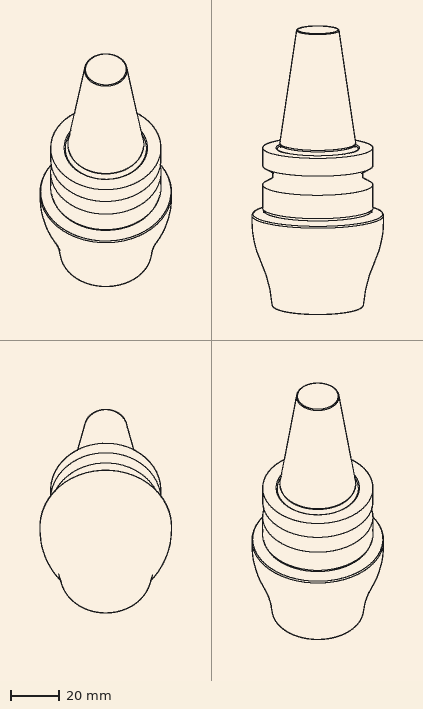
import cadquery as cq
import math

total_height = 117.4
flange_top_z = 67.3

taper_base_z = 69.3
taper_base_radius = 15.8
taper_slope = 7 / 48
taper_top_radius = taper_base_radius - taper_slope * (total_height - taper_base_z)
taper_tip_chamfer = 0.4
neck_radius = 15.5
neck_top_z = 68.6
neck_bottom_z = 67.6
recess_radius = 17.4
recess_depth = 0.5

flange_radius = 23.0
groove_radius = 18.8
groove_mid_z = 55.6
groove_width = 8.1
groove_flank_angle = 30.0
groove_fillet = 0.9
flange_bottom_z = 41.7

relief_radius = 22.5
relief_chamfer_height = 1.0
relief_fillet = 0.8

body_radius = 27.5
body_top_z = 39.2
rim_chamfer_width = 0.4
rim_chamfer_height = 0.7
rim_bottom_z = 36.0
inflection_radius = 24.0
inflection_z = 19.6
nose_radius = 19.1
nose_rounding = 0.9

groove_flank_height = (flange_radius - groove_radius) * math.tan(math.radians(groove_flank_angle))
groove_top_z = groove_mid_z + groove_width / 2
groove_bottom_z = groove_mid_z - groove_width / 2
recess_floor_z = flange_top_z - recess_depth
neck_fillet = neck_bottom_z - recess_floor_z

flank_drop = rim_bottom_z - inflection_z
flank_inset = body_radius - inflection_radius
flank_arc_radius = (flank_drop**2 + flank_inset**2) / (2 * flank_inset)
flank_half_angle = math.asin(flank_drop / flank_arc_radius) / 2
flank_mid = (
    body_radius - flank_arc_radius * (1 - math.cos(flank_half_angle)),
    rim_bottom_z - flank_arc_radius * math.sin(flank_half_angle),
)


def concave_corner(radius, z, size):
    """Middle and end of a quarter arc running from a wall at radius, down and out to a floor at z."""
    inset = size * (1 - math.sqrt(0.5))
    return (radius + inset, z + inset), (radius + size, z)


def half_profile():
    """Right half of the axial section, traced from the top of the shank to the nose."""
    shank = (
        cq.Workplane("XZ")
        .moveTo(0, total_height)
        .lineTo(taper_top_radius - taper_tip_chamfer, total_height)
        .lineTo(taper_top_radius + taper_slope * taper_tip_chamfer, total_height - taper_tip_chamfer)
        .lineTo(taper_base_radius, taper_base_z)
        .lineTo(neck_radius, neck_top_z)
        .lineTo(neck_radius, neck_bottom_z)
        .threePointArc(*concave_corner(neck_radius, recess_floor_z, neck_fillet))
        .lineTo(recess_radius - recess_depth, recess_floor_z)
        .lineTo(recess_radius, flange_top_z)
    )
    flange = (
        shank.lineTo(flange_radius, flange_top_z)
        .lineTo(flange_radius, groove_top_z)
        .lineTo(groove_radius, groove_top_z - groove_flank_height)
        .lineTo(groove_radius, groove_bottom_z + groove_flank_height)
        .lineTo(flange_radius, groove_bottom_z)
        .lineTo(flange_radius, flange_bottom_z)
        .lineTo(relief_radius, flange_bottom_z - relief_chamfer_height)
        .lineTo(relief_radius, body_top_z + relief_fillet)
        .threePointArc(*concave_corner(relief_radius, body_top_z, relief_fillet))
    )
    body = (
        flange.lineTo(body_radius - rim_chamfer_width, body_top_z)
        .lineTo(body_radius, body_top_z - rim_chamfer_height)
        .lineTo(body_radius, rim_bottom_z)
        .threePointArc(flank_mid, (inflection_radius, inflection_z))
        .tangentArcPoint((nose_radius, nose_rounding), relative=False)
        .tangentArcPoint((nose_radius - nose_rounding, 0), relative=False)
        .lineTo(0, 0)
    )
    return body.close()


def round_groove_floor(solid):
    """Fillet the two circular corners at the bottom of the V groove."""
    reach = groove_radius + 0.1
    half_height = groove_width / 2
    corners = cq.selectors.BoxSelector(
        (-reach, -reach, groove_mid_z - half_height),
        (reach, reach, groove_mid_z + half_height),
        boundingbox=True,
    )
    return solid.edges(corners).edges("%CIRCLE").fillet(groove_fillet)


result = round_groove_floor(half_profile().revolve(360, (0, 0), (0, 1)))